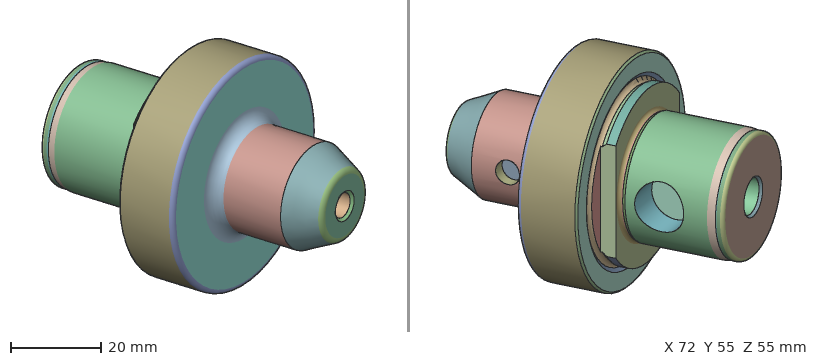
import cadquery as cq
import math

length = 72.0
shank_pilot_end = 1.7
shank_groove_end = 2.1
shank_land_start = 3.95
shank_land_end = 24.3
relief_start = 25.0
collar_start = 26.1
collar_taper_start = 28.4
collar_taper_end = 29.45
flat_end = 29.8
disc_start = 30.0
disc_end = 44.9
nose_cone_start = 63.4

shank_radius = 15.05
pilot_radius = 14.8
relief_radius = 14.75
collar_radius = 21.0
collar_root_radius = 20.45
disc_radius = 27.5
neck_radius = 12.5
nose_cone_tip_radius = 8.4

shank_round = 0.9
collar_fillet = collar_start - relief_start - 0.3
disc_chamfer = 0.5
disc_round = 1.15
neck_fillet = 3.1
nose_round = 1.6

groove_floor_radius = 21.7
groove_rim_radius = 22.6
groove_depth = 0.6

flat_half_width = 16.0

bore_radius = 2.95
inlet_radius = 4.3
inlet_depth = 11.5
inlet_chamfer = 0.4
inlet_chamfer_depth = 0.7
nose_chamfer = 0.65
drill_half_angle = 59.0

seat_hole_x = 15.85
seat_hole_radius = 6.05
seat_hole_floor = 6.5
screw_x = 54.5
screw_radius = 2.95
screw_tip = 2.0
screw_length = 7.2


def revolve_about_x(outline):
    return outline.close().revolve(360, (0, 0, 0), (1, 0, 0))


def make_turned_blank():
    """Shank, collar, disc and nose as one revolved outline."""
    diagonal = math.sqrt(0.5)
    groove_bottom = disc_start + groove_depth
    fillet_start = collar_start - collar_fillet
    outline = (
        cq.Workplane("XY")
        .moveTo(0, 0)
        .lineTo(0, pilot_radius - shank_round)
        .threePointArc(
            (shank_round * (1 - diagonal), pilot_radius - shank_round * (1 - diagonal)),
            (shank_round, pilot_radius),
        )
        .lineTo(shank_pilot_end, pilot_radius)
        .lineTo(shank_groove_end, relief_radius)
        .lineTo(shank_land_start, shank_radius)
        .lineTo(shank_land_end, shank_radius)
        .lineTo(relief_start, relief_radius)
        .lineTo(fillet_start, relief_radius)
        .threePointArc(
            (
                fillet_start + collar_fillet * diagonal,
                relief_radius + collar_fillet * (1 - diagonal),
            ),
            (collar_start, relief_radius + collar_fillet),
        )
        .lineTo(collar_start, collar_radius)
        .lineTo(collar_taper_start, collar_radius)
        .lineTo(collar_taper_end, collar_root_radius)
        .threePointArc(
            (
                collar_taper_end + (groove_bottom - collar_taper_end) * diagonal,
                collar_root_radius + (groove_floor_radius - collar_root_radius) * (1 - diagonal),
            ),
            (groove_bottom, groove_floor_radius),
        )
        .lineTo(disc_start, groove_rim_radius)
        .lineTo(disc_start, disc_radius - disc_chamfer)
        .lineTo(disc_start + disc_chamfer, disc_radius)
        .lineTo(disc_end - disc_round, disc_radius)
        .threePointArc(
            (
                disc_end - disc_round * (1 - diagonal),
                disc_radius - disc_round * (1 - diagonal),
            ),
            (disc_end, disc_radius - disc_round),
        )
        .lineTo(disc_end, neck_radius + neck_fillet)
        .threePointArc(
            (
                disc_end + neck_fillet * (1 - diagonal),
                neck_radius + neck_fillet * (1 - diagonal),
            ),
            (disc_end + neck_fillet, neck_radius),
        )
        .lineTo(nose_cone_start, neck_radius)
        .lineTo(length, nose_cone_tip_radius)
        .lineTo(length, 0)
    )
    blank = revolve_about_x(outline)
    nose_rim = cq.selectors.BoxSelector(
        (length - nose_round, -disc_radius, -disc_radius),
        (length + nose_round, disc_radius, disc_radius),
    )
    return blank.edges(nose_rim).fillet(nose_round)


def make_flat_cutter(side):
    """Block that trims the collar to a flat; side is +1 or -1 along Y."""
    depth = collar_radius - flat_half_width
    return cq.Workplane("XY").box(flat_end - collar_start, depth, 2 * collar_radius).translate(
        ((collar_start + flat_end) / 2, side * (flat_half_width + depth / 2), 0)
    )


def make_bore_cutter():
    """Chamfered inlet with a drill-point bottom, then a narrower bore chamfered at the nose."""
    drill_point = (inlet_radius - bore_radius) / math.tan(math.radians(drill_half_angle))
    outline = (
        cq.Workplane("XY")
        .moveTo(0, 0)
        .lineTo(0, inlet_radius + inlet_chamfer)
        .lineTo(inlet_chamfer_depth, inlet_radius)
        .lineTo(inlet_depth, inlet_radius)
        .lineTo(inlet_depth + drill_point, bore_radius)
        .lineTo(length - nose_chamfer, bore_radius)
        .lineTo(length, bore_radius + nose_chamfer)
        .lineTo(length, 0)
    )
    return revolve_about_x(outline)


def make_radial_cylinder(x, radius, inner_y, outer_y):
    """Cylinder along Y between two distances from the axis."""
    solid = cq.Solid.makeCylinder(radius, outer_y - inner_y, cq.Vector(x, inner_y, 0), cq.Vector(0, 1, 0))
    return cq.Workplane(solid)


def make_adapter():
    adapter = make_turned_blank()
    for side in (1, -1):
        adapter = adapter.cut(make_flat_cutter(side))
    adapter = adapter.cut(make_bore_cutter())
    adapter = adapter.cut(make_radial_cylinder(seat_hole_x, seat_hole_radius, seat_hole_floor, disc_radius))
    return adapter.cut(make_radial_cylinder(screw_x, screw_radius, 0, disc_radius))


def make_screw():
    """Plain set screw that reaches from its radial hole into the bore."""
    return make_radial_cylinder(screw_x, screw_radius, screw_tip, screw_tip + screw_length)


adapter = make_adapter()
screw = make_screw()
result = cq.Compound.makeCompound([adapter.val(), screw.val()])